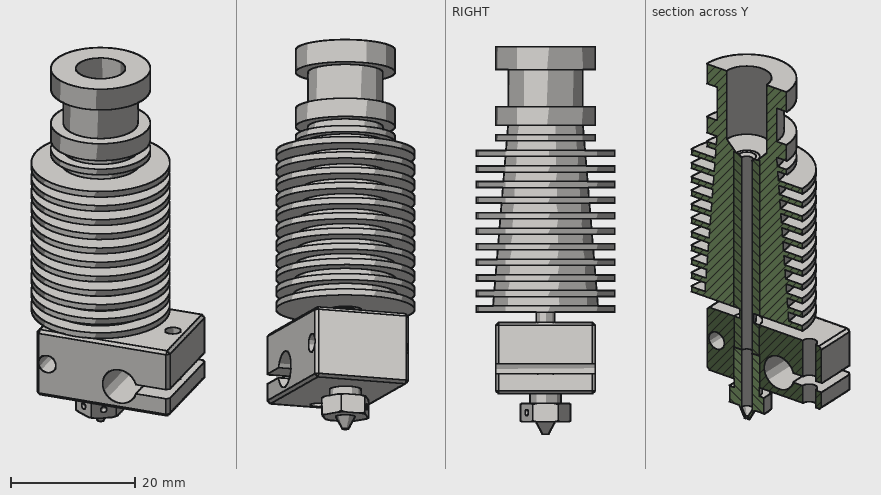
import cadquery as cq
import math


def cone_height(large_diameter, small_diameter, included_angle):
    return (large_diameter - small_diameter) / 2 / math.tan(math.radians(included_angle / 2))


TOTAL_HEIGHT = 62.3
TIP_HEIGHT = 2.0
HEX_HEIGHT = 3.0
NOZZLE_NECK_HEIGHT = 1.5
BLOCK_HEIGHT = 11.5
BREAK_GAP = 1.6

HEX_TOP = TIP_HEIGHT + HEX_HEIGHT
BLOCK_BOTTOM = HEX_TOP + NOZZLE_NECK_HEIGHT
BLOCK_TOP = BLOCK_BOTTOM + BLOCK_HEIGHT
SINK_BOTTOM = BLOCK_TOP + BREAK_GAP

FIN_DIAMETER = 22.3
FIN_COUNT = 11
FIN_THICKNESS = 1.0
COLLAR_DIAMETER = 16.0
TOP_COLLAR_HEIGHT = 3.7
GROOVE_DIAMETER = 12.0
GROOVE_HEIGHT = 6.0
LOWER_COLLAR_HEIGHT = 3.0
CORE_TOP_DIAMETER = 12.1
CORE_BOTTOM_DIAMETER = 17.1

GROOVE_TOP = TOTAL_HEIGHT - TOP_COLLAR_HEIGHT
LOWER_COLLAR_TOP = GROOVE_TOP - GROOVE_HEIGHT
CORE_TOP = LOWER_COLLAR_TOP - LOWER_COLLAR_HEIGHT
FIN_PITCH = (CORE_TOP - SINK_BOTTOM) / (FIN_COUNT + 1)

MOUTH_DIAMETER = 8.0
MOUTH_DEPTH = 12.45
MOUTH_CONE_ANGLE = 90.0
THROAT_DIAMETER = 4.2
FILAMENT_DIAMETER = 2.0
LEAD_IN_DIAMETER = 3.0
LEAD_IN_ANGLE = 90.0
ORIFICE_DIAMETER = 0.4
ORIFICE_LENGTH = 0.5
ORIFICE_CONE_ANGLE = 60.0

MOUTH_FLOOR = TOTAL_HEIGHT - MOUTH_DEPTH
THROAT_Z = MOUTH_FLOOR - cone_height(MOUTH_DIAMETER, THROAT_DIAMETER, MOUTH_CONE_ANGLE)

SHANK_DIAMETER = 5.05
BREAK_NECK_DIAMETER = 3.0
BREAK_BOTTOM = BLOCK_BOTTOM + BLOCK_HEIGHT / 2

HEX_ACROSS_FLATS = 7.0
HEX_SIDES = 6
HEX_CHAMFER_DIAMETER = 7.5
HEX_CHAMFER_ANGLE = 30.0
TIP_BASE_DIAMETER = 3.1
TIP_DIAMETER = 1.0
DIMPLE_DIAMETER = 1.0
DIMPLE_DEPTH = 0.5
DIMPLE_FACE_ANGLES = (-120, -60)

BLOCK_LEFT = -8.0
BLOCK_RIGHT = 15.0
BLOCK_DEPTH = 16.0
BLOCK_CHAMFER = 0.5
HEATER_DIAMETER = 5.85
HEATER_X = 6.5
HEATER_Z = 10.5
SLOT_WIDTH = 1.6
SENSOR_DIAMETER = 3.0
SENSOR_X = -6.05
SENSOR_Z = 12.35
CLAMP_DIAMETER = 2.55
CLAMP_X = 12.5


def cylinder(diameter, bottom, top):
    return cq.Workplane("XY").workplane(offset=bottom).circle(diameter / 2).extrude(top - bottom)


def cone(bottom_diameter, top_diameter, bottom, top):
    axis = cq.Vector(0, 0, 1)
    base = cq.Vector(0, 0, bottom)
    return cq.Workplane(cq.Solid.makeCone(bottom_diameter / 2, top_diameter / 2, top - bottom, base, axis))


def make_heat_sink():
    sink = cone(CORE_BOTTOM_DIAMETER, CORE_TOP_DIAMETER, SINK_BOTTOM, CORE_TOP)
    sink = sink.union(cylinder(COLLAR_DIAMETER, CORE_TOP, LOWER_COLLAR_TOP))
    sink = sink.union(cylinder(GROOVE_DIAMETER, LOWER_COLLAR_TOP, GROOVE_TOP))
    sink = sink.union(cylinder(COLLAR_DIAMETER, GROOVE_TOP, TOTAL_HEIGHT))

    fin_diameters = [FIN_DIAMETER] * FIN_COUNT + [COLLAR_DIAMETER]
    for index, diameter in enumerate(fin_diameters):
        fin_bottom = SINK_BOTTOM + index * FIN_PITCH
        sink = sink.union(cylinder(diameter, fin_bottom, fin_bottom + FIN_THICKNESS))

    sink = sink.cut(cylinder(MOUTH_DIAMETER, MOUTH_FLOOR, TOTAL_HEIGHT))
    sink = sink.cut(cone(THROAT_DIAMETER, MOUTH_DIAMETER, THROAT_Z, MOUTH_FLOOR))
    return sink.cut(cylinder(SHANK_DIAMETER, SINK_BOTTOM, THROAT_Z))


def make_heat_break():
    heat_break = cylinder(SHANK_DIAMETER, BREAK_BOTTOM, BLOCK_TOP)
    heat_break = heat_break.union(cylinder(BREAK_NECK_DIAMETER, BLOCK_TOP, SINK_BOTTOM))
    heat_break = heat_break.union(cylinder(SHANK_DIAMETER, SINK_BOTTOM, THROAT_Z))
    heat_break = heat_break.cut(cylinder(FILAMENT_DIAMETER, BREAK_BOTTOM, THROAT_Z))

    lead_in_bottom = THROAT_Z - cone_height(LEAD_IN_DIAMETER, FILAMENT_DIAMETER, LEAD_IN_ANGLE)
    return heat_break.cut(cone(FILAMENT_DIAMETER, LEAD_IN_DIAMETER, lead_in_bottom, THROAT_Z))


def make_heater_block():
    block = (
        cq.Workplane("XY")
        .box(BLOCK_RIGHT - BLOCK_LEFT, BLOCK_DEPTH, BLOCK_HEIGHT)
        .edges()
        .chamfer(BLOCK_CHAMFER)
        .translate(((BLOCK_LEFT + BLOCK_RIGHT) / 2, 0, BLOCK_BOTTOM + BLOCK_HEIGHT / 2))
    )

    cross_holes = ((HEATER_DIAMETER, HEATER_X, HEATER_Z), (SENSOR_DIAMETER, SENSOR_X, SENSOR_Z))
    for diameter, x, z in cross_holes:
        hole = cq.Workplane("XZ").center(x, z).circle(diameter / 2).extrude(BLOCK_DEPTH / 2, both=True)
        block = block.cut(hole)

    slot_length = BLOCK_RIGHT - HEATER_X
    slot = cq.Workplane("XY").box(slot_length, BLOCK_DEPTH, SLOT_WIDTH)
    block = block.cut(slot.translate((HEATER_X + slot_length / 2, 0, HEATER_Z)))

    clamp_hole = cylinder(CLAMP_DIAMETER, BLOCK_BOTTOM, BLOCK_TOP).translate((CLAMP_X, 0, 0))
    block = block.cut(clamp_hole)

    return block.cut(cylinder(SHANK_DIAMETER, BLOCK_BOTTOM, BLOCK_TOP))


def make_hex():
    corner_diameter = HEX_ACROSS_FLATS / math.cos(math.pi / HEX_SIDES)
    hexagon = (
        cq.Workplane("XY")
        .polygon(HEX_SIDES, corner_diameter)
        .extrude(HEX_HEIGHT)
        .rotate((0, 0, 0), (0, 0, 1), 90)
        .translate((0, 0, TIP_HEIGHT))
    )

    chamfer_height = (corner_diameter - HEX_CHAMFER_DIAMETER) / 2 * math.tan(math.radians(HEX_CHAMFER_ANGLE))
    lower_edge = TIP_HEIGHT + chamfer_height
    upper_edge = HEX_TOP - chamfer_height
    envelope = cone(HEX_CHAMFER_DIAMETER, corner_diameter, TIP_HEIGHT, lower_edge)
    envelope = envelope.union(cylinder(corner_diameter, lower_edge, upper_edge))
    envelope = envelope.union(cone(corner_diameter, HEX_CHAMFER_DIAMETER, upper_edge, HEX_TOP))
    hexagon = hexagon.intersect(envelope)

    face_center = cq.Vector(HEX_ACROSS_FLATS / 2, 0, TIP_HEIGHT + HEX_HEIGHT / 2)
    inward = cq.Vector(-1, 0, 0)
    dimple = cq.Workplane(cq.Solid.makeCone(DIMPLE_DIAMETER / 2, 0, DIMPLE_DEPTH, face_center, inward))
    for angle in DIMPLE_FACE_ANGLES:
        hexagon = hexagon.cut(dimple.rotate((0, 0, 0), (0, 0, 1), angle))
    return hexagon


def make_nozzle():
    nozzle = cone(TIP_DIAMETER, TIP_BASE_DIAMETER, 0, TIP_HEIGHT)
    nozzle = nozzle.union(make_hex())
    nozzle = nozzle.union(cylinder(SHANK_DIAMETER, HEX_TOP, BREAK_BOTTOM))

    cone_top = ORIFICE_LENGTH + cone_height(FILAMENT_DIAMETER, ORIFICE_DIAMETER, ORIFICE_CONE_ANGLE)
    nozzle = nozzle.cut(cylinder(FILAMENT_DIAMETER, cone_top, BREAK_BOTTOM))
    nozzle = nozzle.cut(cone(ORIFICE_DIAMETER, FILAMENT_DIAMETER, ORIFICE_LENGTH, cone_top))
    return nozzle.cut(cylinder(ORIFICE_DIAMETER, 0, ORIFICE_LENGTH))


heat_sink = make_heat_sink()
heat_break = make_heat_break()
heater_block = make_heater_block()
nozzle = make_nozzle()

result = cq.Compound.makeCompound([heat_sink.val(), heat_break.val(), heater_block.val(), nozzle.val()])